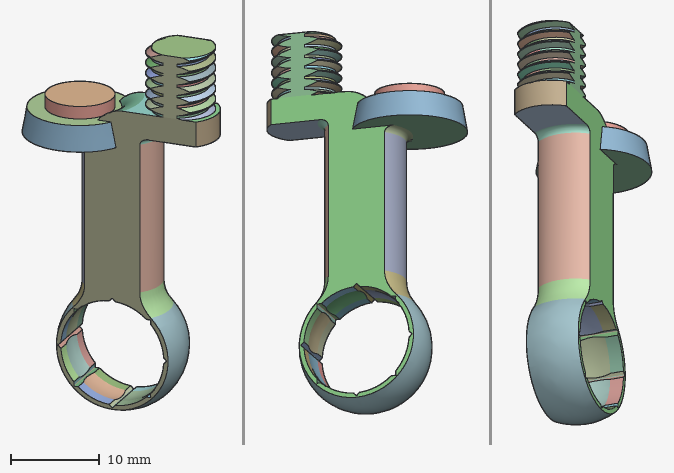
import cadquery as cq
import math

thickness = 6.35
half_thickness = thickness / 2
total_height = 44.45

sphere_radius = 7.5
hole_radius = 6.25
recess_depth = 0.2
recess_width = 3.2
notch_count = 8
notch_depth = 0.35
notch_tip_radius = 0.142 / 2

shank_radius = 9.25 / 2
ring_blend_radius = 4.45
flare_radius = 0.75

stud_height = 7.5
arm_thickness = 3.02
disc_height = 1.5
button_thickness = 3.02
stud_top = total_height - sphere_radius
arm_top = stud_top - stud_height
arm_bottom = arm_top - arm_thickness
button_top = arm_top - disc_height
button_bottom = button_top - button_thickness

stud_x = 7.02
arm_tip_radius = 4.5
thread_radius = 7.9 / 2
thread_turns = 6
pitch = stud_height / thread_turns
thread_depth = 0.65
thread_crest_width = 0.125
thread_half_angle = math.radians(33)
thread_crest_drop = 0.11

button_x = -5.25
button_top_radius = 6.0
button_bottom_radius = 6.55
disc_radius = 3.95

shoulder_outer_radius = 7.35
shoulder_round = arm_thickness

cut_margin = 2.22


def slab(x_min, x_max, z_min, z_max):
    """Block of the common thickness, centred on Y."""
    return (
        cq.Workplane("XY")
        .box(x_max - x_min, thickness, z_max - z_min, centered=(False, True, False))
        .translate((x_min, 0, z_min))
    )


def make_shank_and_ring():
    """Solid of revolution about Z: sphere, tangent blend and round bar."""
    blend_x = shank_radius + ring_blend_radius
    blend_z = math.sqrt((sphere_radius + ring_blend_radius) ** 2 - blend_x**2)
    contact = sphere_radius / (sphere_radius + ring_blend_radius)
    sphere_contact_angle = math.pi + math.atan2(blend_z, blend_x)
    middle_angle = (sphere_contact_angle + math.pi) / 2
    blend_middle = (
        blend_x + ring_blend_radius * math.cos(middle_angle),
        blend_z + ring_blend_radius * math.sin(middle_angle),
    )
    body = (
        cq.Workplane("XZ")
        .moveTo(0, -sphere_radius)
        .threePointArc((sphere_radius, 0), (blend_x * contact, blend_z * contact))
        .threePointArc(blend_middle, (shank_radius, blend_z))
        .lineTo(shank_radius, arm_bottom)
        .lineTo(0, arm_bottom)
        .close()
        .revolve(360, (0, 0), (0, 1))
    )
    return body.intersect(slab(-total_height, total_height, -total_height, total_height))


def make_flare(z_top, side):
    """Concave flare from the shank out to a flat underside, on one side of X = 0."""
    flare = (
        cq.Workplane("XZ")
        .moveTo(0, z_top - flare_radius)
        .lineTo(shank_radius, z_top - flare_radius)
        .radiusArc((shank_radius + flare_radius, z_top), flare_radius)
        .lineTo(0, z_top)
        .close()
        .revolve(360, (0, 0), (0, 1))
    )
    reach = shank_radius + flare_radius
    x_limits = sorted((0, side * reach))
    return flare.intersect(slab(*x_limits, z_top - flare_radius, z_top))


def make_arm():
    """Flat arm with a round tip and a rounded shoulder around the button."""
    bar = slab(button_x, stud_x, arm_bottom, arm_top)
    tip = (
        cq.Workplane("XY", origin=(stud_x, 0, arm_bottom))
        .circle(arm_tip_radius)
        .extrude(arm_thickness)
        .intersect(slab(stud_x, stud_x + arm_tip_radius, arm_bottom, arm_top))
    )
    round_z = arm_top - shoulder_round

    def shoulder_point(angle):
        return (
            shoulder_outer_radius - shoulder_round * math.cos(angle),
            round_z + shoulder_round * math.sin(angle),
        )

    start_angle = math.asin((button_top - round_z) / shoulder_round)
    end_angle = math.pi / 2
    middle_angle = (start_angle + end_angle) / 2
    relief = (
        cq.Workplane("XZ")
        .moveTo(0, button_top)
        .lineTo(*shoulder_point(start_angle))
        .threePointArc(shoulder_point(middle_angle), shoulder_point(end_angle))
        .lineTo(shoulder_outer_radius, arm_top + cut_margin)
        .lineTo(0, arm_top + cut_margin)
        .close()
        .revolve(360, (0, 0), (0, 1))
        .translate((button_x, 0, 0))
    )
    return bar.union(tip).cut(relief)


def make_button():
    """Tapered pad carrying a raised disc."""
    profile = [
        (0, button_bottom),
        (button_bottom_radius, button_bottom),
        (button_top_radius, button_top),
        (disc_radius, button_top),
        (disc_radius, arm_top),
        (0, arm_top),
    ]
    return (
        cq.Workplane("XZ")
        .polyline(profile)
        .close()
        .revolve(360, (0, 0), (0, 1))
        .translate((button_x, 0, 0))
    )


def make_stud():
    """Right-hand V thread with both sides cut flat to the common thickness."""
    crest_half_width = thread_crest_width / 2
    root_radius = thread_radius - thread_depth
    buried_depth = 0.15
    buried_radius = root_radius - buried_depth
    foot_half_width = crest_half_width + (thread_depth + buried_depth) * math.tan(thread_half_angle)

    helix = cq.Wire.makeHelix(pitch, (thread_turns + 2) * pitch, buried_radius)
    ridge = (
        cq.Workplane("XZ")
        .polyline([
            (buried_radius, -foot_half_width),
            (thread_radius, -crest_half_width),
            (thread_radius, crest_half_width),
            (buried_radius, foot_half_width),
        ])
        .close()
        .sweep(cq.Workplane(helix), isFrenet=True)
        .translate((0, 0, -pitch - thread_crest_drop))
    )
    run_out = 3 * pitch
    core = (
        cq.Workplane("XY", origin=(0, 0, -run_out))
        .circle(root_radius)
        .extrude(stud_height + 2 * run_out)
    )
    stud_limits = slab(-arm_tip_radius, arm_tip_radius, 0, stud_height)
    stud = core.union(ridge, clean=False).intersect(stud_limits, clean=False)
    return stud.translate((stud_x, 0, arm_top))


def make_ring_bore():
    """Bore along Y with a shallow, arched central recess and V notches around its wall."""
    bore = cq.Workplane("XZ").circle(hole_radius).extrude(half_thickness + cut_margin, both=True)
    recess = (
        cq.Workplane("XY")
        .moveTo(0, -recess_width / 2)
        .lineTo(hole_radius, -recess_width / 2)
        .threePointArc((hole_radius + recess_depth, 0), (hole_radius, recess_width / 2))
        .lineTo(0, recess_width / 2)
        .close()
        .revolve(360, (0, 0), (0, 1))
    )
    bore = bore.union(recess)
    apex = hole_radius + notch_depth
    foot = hole_radius - notch_depth
    notch = (
        cq.Workplane("XZ")
        .polyline([(apex, 0), (foot, 2 * notch_depth), (foot, -2 * notch_depth)])
        .close()
        .extrude(half_thickness + cut_margin, both=True)
        .edges("|Y and >X")
        .fillet(notch_tip_radius)
    )
    for index in range(notch_count):
        bore = bore.union(notch.rotate((0, 0, 0), (0, 1, 0), index * 360 / notch_count))
    return bore


result = (
    make_shank_and_ring()
    .union(make_arm())
    .union(make_flare(arm_bottom, 1))
    .union(make_flare(button_bottom, -1))
    .union(make_button())
    .union(make_stud(), clean=False)
    .cut(make_ring_bore(), clean=False)
)